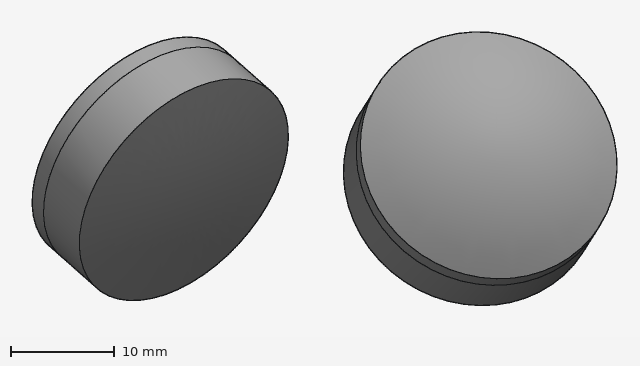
import cadquery as cq

diameter = 25.4
total_thickness = 12.0
front_dome_height = 3.68
front_rim_width = 1.83
back_dome_height = 0.8

radius = diameter / 2
front_rim_x = front_dome_height
joint_x = front_rim_x + front_rim_width
back_rim_x = total_thickness - back_dome_height


def dome_sphere_radius(height):
    """Radius of the sphere whose cap has the given height and the lens diameter."""
    return (radius**2 + height**2) / (2 * height)


def arc_midpoint(apex_x, height, direction):
    """Point on a dome profile at half the lens radius; direction is +1 if the dome opens to +X."""
    sphere_radius = dome_sphere_radius(height)
    half_radius = radius / 2
    drop = sphere_radius - (sphere_radius**2 - half_radius**2) ** 0.5
    return apex_x + direction * drop, half_radius


def revolve_about_x(profile):
    """Turn a closed half profile in the XZ plane once around the X axis."""
    return profile.close().revolve(360, (0, 0, 0), (1, 0, 0))


def make_front_lens():
    """Strongly domed lens with a narrow rim and a flat back."""
    profile = (
        cq.Workplane("XZ")
        .moveTo(0, 0)
        .threePointArc(arc_midpoint(0, front_dome_height, 1), (front_rim_x, radius))
        .lineTo(joint_x, radius)
        .lineTo(joint_x, 0)
    )
    return revolve_about_x(profile)


def make_back_lens():
    """Lens with a flat front, a wide rim and a shallow back dome."""
    profile = (
        cq.Workplane("XZ")
        .moveTo(joint_x, 0)
        .lineTo(joint_x, radius)
        .lineTo(back_rim_x, radius)
        .threePointArc(arc_midpoint(total_thickness, back_dome_height, -1), (total_thickness, 0))
    )
    return revolve_about_x(profile)


front_lens = make_front_lens()
back_lens = make_back_lens()

result = cq.Compound.makeCompound([front_lens.val(), back_lens.val()])